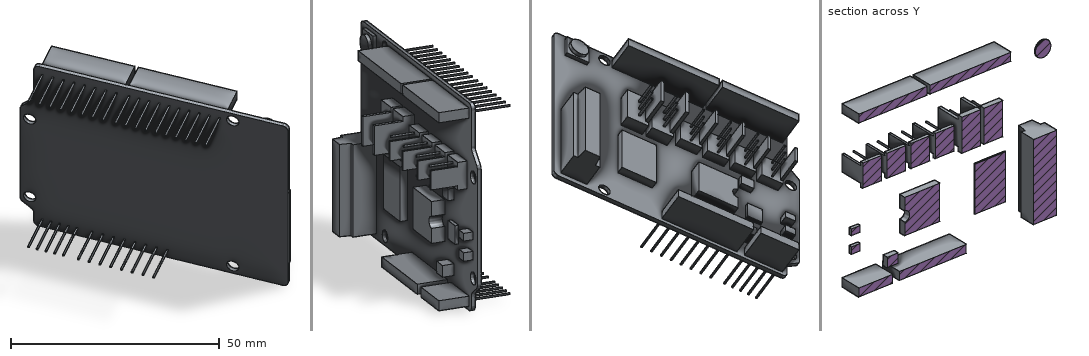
import cadquery as cq


OVERALL_DEPTH = 21.5

BOARD_LENGTH = 68.0
BOARD_HEIGHT = 53.0
BOARD_THICKNESS = 1.0
SHOULDER_X = 3.5
UPPER_SLOPE_BOTTOM = 38.1
LOWER_SLOPE_TOP = 7.35
LOWER_SLOPE_DROP = 2.5
CORNER_RADIUS = 1.35

HOLE_DIAMETER = 3.1
LEFT_HOLE_X = 2.45
RIGHT_HOLE_X = 54.0
HOLE_CENTRES = [
    (LEFT_HOLE_X, 34.75),
    (LEFT_HOLE_X, 9.0),
    (RIGHT_HOLE_X, 50.6),
    (RIGHT_HOLE_X, 2.4),
]

PIN_DIAMETER = 0.5
PIN_LENGTH = 10.0
HEADER_TOP = 9.0
HEADER_WIDTH = 2.6
UPPER_ROW_Z = 50.4
LOWER_ROW_Z = 2.4
HEADER_LEFT = 4.8
FIRST_PIN = 5.65
HEADERS = [
    (UPPER_ROW_Z, HEADER_LEFT, 26.0, FIRST_PIN, 24.5, 8),
    (UPPER_ROW_Z, 26.85, 51.95, 27.7, 50.6, 10),
    (LOWER_ROW_Z, HEADER_LEFT, 15.3, FIRST_PIN, 14.5, 5),
    (LOWER_ROW_Z, 17.4, 38.15, 18.3, 37.4, 8),
]

CONNECTOR_Z = 34.2
CONNECTOR_LENGTH = 5.85
CONNECTOR_PIN_COUNT = 3
CONNECTOR_PIN_PITCH = 2.5
SMALL_PITCH = 7.5
SMALL_LEFT = 6.05
SMALL_PLATE_TOPS = [10.5, 10.5, 11.1, 11.1]
LARGE_PITCH = 6.9
LARGE_LEFT = 36.7
LARGE_COUNT = 2
LARGE_PLATE_TOP = OVERALL_DEPTH - PIN_LENGTH

TERMINAL_LEFT = 58.9
TERMINAL_WIDTH = 7.2
TERMINAL_BOTTOM = 1.4
TERMINAL_HEIGHT = 23.6
TERMINAL_SHOULDER_Y = 7.2
TERMINAL_TOP_Y = 10.05
TERMINAL_LEDGE = 1.15
TERMINAL_TAPER = 0.4

BUTTON_SIZE = 6.05
BUTTON_LEFT = 58.9
BUTTON_BOTTOM = 45.9
BUTTON_BODY_TOP = 2.0
BUTTON_CAP_TOP = 2.9
BUTTON_CAP_RADIUS = 2.45

CARRIER_LEFT = 19.05
CARRIER_LENGTH = 10.9
CARRIER_BOTTOM = 12.85
CARRIER_HEIGHT = 10.7
CARRIER_TOP = 4.5
NOTCH_RADIUS = 1.5

BLOCKS = [
    (2.6, 2.7, 18.85, 2.0, 3.5),
    (2.6, 2.7, 13.7, 2.2, 3.5),
    (10.9, 4.1, 14.95, 4.75, 2.0),
    (40.8, 9.5, 10.9, 13.95, 3.0),
    (13.6, 3.4, 25.3, 3.0, 2.6),
    (13.6, 3.4, 6.0, 3.0, 4.1),
]


def block(left, length, bottom, height, top):
    """Box on the component face; its base sinks through the board to Y = 0."""
    return cq.Workplane("XY").box(length, top, height, centered=False).translate((left, 0, bottom))


def rod(x, z, diameter, start_y, end_y):
    """Round bar parallel to Y."""
    plane = cq.Workplane("XZ", origin=(x, start_y, z))
    return plane.circle(diameter / 2).extrude(start_y - end_y)


def board():
    outline = [
        (SHOULDER_X, 0),
        (BOARD_LENGTH, 0),
        (BOARD_LENGTH, BOARD_HEIGHT),
        (SHOULDER_X, BOARD_HEIGHT),
        (SHOULDER_X, UPPER_SLOPE_BOTTOM + SHOULDER_X),
        (0, UPPER_SLOPE_BOTTOM),
        (0, LOWER_SLOPE_TOP),
        (SHOULDER_X, LOWER_SLOPE_TOP - LOWER_SLOPE_DROP),
    ]
    plate = cq.Workplane("XZ").polyline(outline).close().extrude(-BOARD_THICKNESS)
    plate = plate.edges("|Y").fillet(CORNER_RADIUS)
    for x, z in HOLE_CENTRES:
        plate = plate.cut(rod(x, z, HOLE_DIAMETER, 0, BOARD_THICKNESS))
    return plate


def header(row_z, left, right, first_pin, last_pin, count):
    """Plastic body with evenly spaced pins that pass through the board."""
    pitch = (last_pin - first_pin) / (count - 1)
    body = block(left, right - left, row_z - HEADER_WIDTH / 2, HEADER_WIDTH, HEADER_TOP)
    for i in range(count):
        body = body.union(rod(first_pin + i * pitch, row_z, PIN_DIAMETER, BOARD_THICKNESS, -PIN_LENGTH))
    return body


def connector(left, base_width, base_top, plate_width, plate_thickness, plate_top,
              pin_offset, pin_diameter, pin_top):
    base = block(left, CONNECTOR_LENGTH, CONNECTOR_Z - base_width / 2, base_width, base_top)
    plate = block(left, plate_thickness, CONNECTOR_Z - plate_width / 2, plate_width, plate_top)
    body = base.union(plate)
    for i in range(CONNECTOR_PIN_COUNT):
        pin_z = CONNECTOR_Z + (i - (CONNECTOR_PIN_COUNT - 1) / 2) * CONNECTOR_PIN_PITCH
        body = body.union(rod(left + pin_offset, pin_z, pin_diameter, 0, pin_top))
    return body


def small_connector(left, plate_top):
    """Connector with the short pins."""
    return connector(left, base_width=7.1, base_top=3.5,
                     plate_width=4.9, plate_thickness=0.7, plate_top=plate_top,
                     pin_offset=3.0, pin_diameter=0.5, pin_top=9.6)


def large_connector(left):
    """Connector with the tall, wide back plate."""
    return connector(left, base_width=10.05, base_top=4.1,
                     plate_width=7.55, plate_thickness=0.9, plate_top=LARGE_PLATE_TOP,
                     pin_offset=2.5, pin_diameter=0.6, pin_top=10.05)


def terminal_strip():
    """Bar along Z whose narrow upper part stands on two ledges."""
    right = TERMINAL_LEFT + TERMINAL_WIDTH
    profile = [
        (TERMINAL_LEFT, 0),
        (right, 0),
        (right, TERMINAL_SHOULDER_Y),
        (right - TERMINAL_LEDGE, TERMINAL_SHOULDER_Y),
        (right - TERMINAL_LEDGE - TERMINAL_TAPER, TERMINAL_TOP_Y),
        (TERMINAL_LEFT + TERMINAL_LEDGE + TERMINAL_TAPER, TERMINAL_TOP_Y),
        (TERMINAL_LEFT + TERMINAL_LEDGE, TERMINAL_SHOULDER_Y),
        (TERMINAL_LEFT, TERMINAL_SHOULDER_Y),
    ]
    bar = cq.Workplane("XY").polyline(profile).close().extrude(TERMINAL_HEIGHT)
    return bar.translate((0, 0, TERMINAL_BOTTOM))


def push_button():
    body = block(BUTTON_LEFT, BUTTON_SIZE, BUTTON_BOTTOM, BUTTON_SIZE, BUTTON_BODY_TOP)
    centre_x = BUTTON_LEFT + BUTTON_SIZE / 2
    centre_z = BUTTON_BOTTOM + BUTTON_SIZE / 2
    return body.union(rod(centre_x, centre_z, 2 * BUTTON_CAP_RADIUS, 0, BUTTON_CAP_TOP))


def chip_carrier():
    """Block with a half-round notch in the middle of its left side."""
    body = block(CARRIER_LEFT, CARRIER_LENGTH, CARRIER_BOTTOM, CARRIER_HEIGHT, CARRIER_TOP)
    centre_z = CARRIER_BOTTOM + CARRIER_HEIGHT / 2
    return body.cut(rod(CARRIER_LEFT, centre_z, 2 * NOTCH_RADIUS, BOARD_THICKNESS, CARRIER_TOP))


result = board()
for sizes in HEADERS:
    result = result.union(header(*sizes))
for i, plate_top in enumerate(SMALL_PLATE_TOPS):
    result = result.union(small_connector(SMALL_LEFT + i * SMALL_PITCH, plate_top))
for i in range(LARGE_COUNT):
    result = result.union(large_connector(LARGE_LEFT + i * LARGE_PITCH))
for sizes in BLOCKS:
    result = result.union(block(*sizes))
result = result.union(terminal_strip()).union(push_button()).union(chip_carrier())